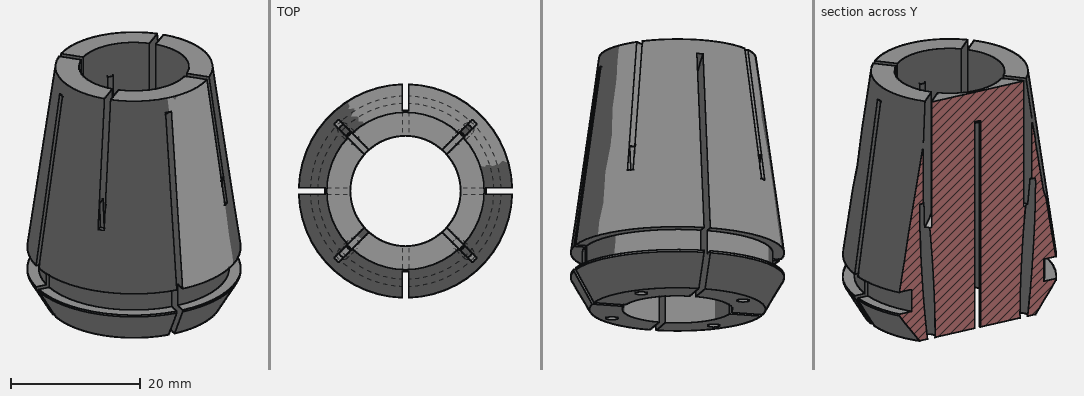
import cadquery as cq
import math

height = 40.0
max_diameter = 33.0
max_radius = max_diameter / 2
bore_diameter = 17.0
bore_radius = bore_diameter / 2
taper_angle = 8.0
nose_angle = 30.0
groove_radius = 14.7
groove_bottom = 5.35
groove_top = 9.0
rim_bottom = 5.05

slots_per_set = 4
slot_width = 1.0
cutter_radius = 14.4
bottom_slot_end = 37.7
bottom_slot_bore_end = 34.5
top_slot_end = 18.9
top_slot_bore_end = 19.55
overshoot = 2.0

relief_diameter = 1.9
relief_start_radius = 11.55
relief_tilt = 5.0
relief_top = 23.05

slot_pitch = 360.0 / slots_per_set
diagonal_start = slot_pitch / 2


def cone_radius(z):
    """Radius of the long cone at height z."""
    return max_radius - (z - groove_top) * math.tan(math.radians(taper_angle))


def make_body():
    nose_radius = max_radius - rim_bottom * math.tan(math.radians(nose_angle))
    profile = [
        (bore_radius, 0),
        (nose_radius, 0),
        (max_radius, rim_bottom),
        (max_radius, groove_bottom),
        (groove_radius, groove_bottom),
        (groove_radius, groove_top),
        (max_radius, groove_top),
        (cone_radius(height), height),
        (bore_radius, height),
    ]
    return cq.Workplane("XZ").polyline(profile).close().revolve(360, (0, 0), (0, 1))


def make_slot(outer_end, bore_end, open_height, bulge):
    """Slot on +X from its round end to open_height; bulge is +1 or -1, the arc's side in Z."""
    inner = bore_radius - overshoot
    outer = max_radius + overshoot
    cone = cone_radius(outer_end)
    run = cone - bore_radius
    rise = outer_end - bore_end
    chord = math.hypot(run, rise)
    sagitta = cutter_radius - math.sqrt(cutter_radius**2 - (chord / 2) ** 2)
    arc_middle = (
        (cone + bore_radius) / 2 - bulge * sagitta * rise / chord,
        (outer_end + bore_end) / 2 + bulge * sagitta * run / chord,
    )
    return (
        cq.Workplane("XZ")
        .moveTo(inner, open_height)
        .lineTo(inner, bore_end)
        .lineTo(bore_radius, bore_end)
        .threePointArc(arc_middle, (cone, outer_end))
        .lineTo(outer, outer_end)
        .lineTo(outer, open_height)
        .close()
        .extrude(slot_width / 2, both=True)
    )


def make_relief_hole():
    """Hole above +X that leans outward as it rises."""
    tilt = math.radians(relief_tilt)
    direction = cq.Vector(math.sin(tilt), 0, math.cos(tilt))
    start = cq.Vector(relief_start_radius, 0, 0) - direction * overshoot
    length = relief_top / math.cos(tilt) + overshoot
    return cq.Workplane(cq.Solid.makeCylinder(relief_diameter / 2, length, start, direction))


def cut_around(body, tool, start_angle):
    for index in range(slots_per_set):
        body = body.cut(tool.rotate((0, 0, 0), (0, 0, 1), start_angle + index * slot_pitch))
    return body


bottom_slot = make_slot(bottom_slot_end, bottom_slot_bore_end, -overshoot, 1)
top_slot = make_slot(top_slot_end, top_slot_bore_end, height + overshoot, -1)

result = make_body()
result = cut_around(result, bottom_slot, 0)
result = cut_around(result, top_slot, diagonal_start)
result = cut_around(result, make_relief_hole(), diagonal_start)